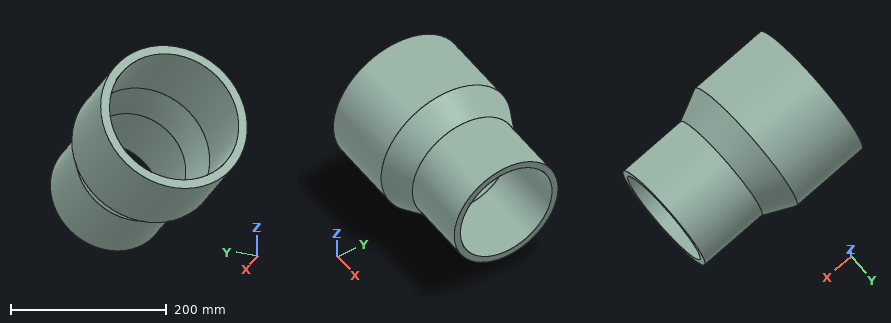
import cadquery as cq

total_length = 253.0
wide_length = 112.3
taper_length = 42.5

wide_outer_diameter = 200.0
wide_bore_diameter = 176.0
narrow_outer_diameter = 160.0
narrow_bore_diameter = 141.0

taper_end = wide_length + taper_length


def stepped_taper(wide_diameter, narrow_diameter):
    """Solid of revolution: wide cylinder, cone, narrow cylinder."""
    wide_radius = wide_diameter / 2
    narrow_radius = narrow_diameter / 2
    return (
        cq.Workplane("XY")
        .moveTo(0, 0)
        .lineTo(0, wide_radius)
        .lineTo(wide_length, wide_radius)
        .lineTo(taper_end, narrow_radius)
        .lineTo(total_length, narrow_radius)
        .lineTo(total_length, 0)
        .close()
        .revolve(360, (0, 0, 0), (1, 0, 0))
    )


body = stepped_taper(wide_outer_diameter, narrow_outer_diameter)
bore = stepped_taper(wide_bore_diameter, narrow_bore_diameter)

result = body.cut(bore)